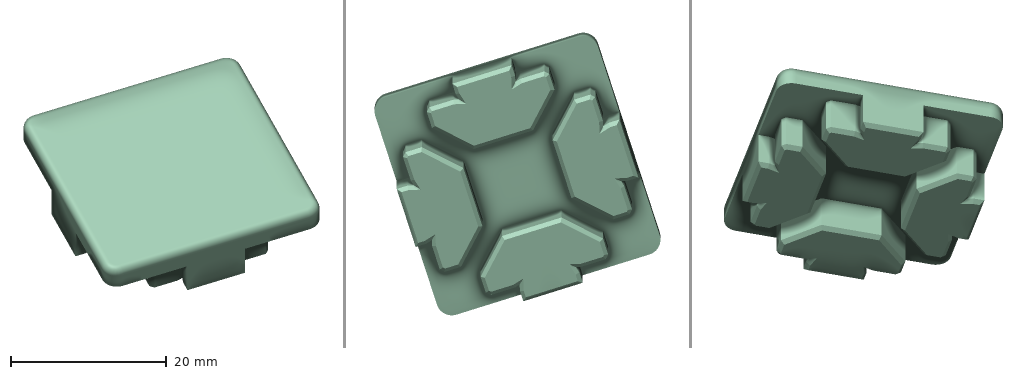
import math

import cadquery as cq

SIZE = 30.0
TOTAL_HEIGHT = 8.0
CAP_THICKNESS = 3.0
CAP_CORNER_RADIUS = 2.0
CAP_TOP_FILLET = 1.0

TONGUE_COUNT = 4
TONGUE_HEIGHT = TOTAL_HEIGHT - CAP_THICKNESS
TONGUE_BOTTOM_CHAMFER = 0.5
STEM_HALF_WIDTH = 4.0
WING_HALF_WIDTH = 8.25
WING_FRONT = 12.95
WING_BACK = 10.25
WING_CORNER_CHAMFER = 0.5
TONGUE_BACK = 6.0

RELIEF_ANGLE = math.radians(15.0)
RELIEF_STEM_START = 13.55
RELIEF_WING_START = 4.5


def relief_vertex():
    """Meeting point of the two relief walls, each sloping by RELIEF_ANGLE."""
    slope = math.tan(RELIEF_ANGLE)
    across = RELIEF_WING_START - STEM_HALF_WIDTH
    along = RELIEF_STEM_START - WING_FRONT
    stem_wall_run = (along + across * slope) / (1 - slope**2)
    half_width = STEM_HALF_WIDTH - stem_wall_run * slope
    return half_width, RELIEF_STEM_START - stem_wall_run


def make_cap():
    return (
        cq.Workplane("XY")
        .workplane(offset=TONGUE_HEIGHT)
        .rect(SIZE, SIZE)
        .extrude(CAP_THICKNESS)
        .edges("|Z")
        .fillet(CAP_CORNER_RADIUS)
        .faces(">Z")
        .edges()
        .fillet(CAP_TOP_FILLET)
    )


def make_tongue():
    """T-shaped tongue on the +Y side, tapering at 45 degrees towards the axis."""
    back_half_width = WING_HALF_WIDTH - (WING_BACK - TONGUE_BACK)
    right_half = [
        (STEM_HALF_WIDTH, SIZE / 2),
        (STEM_HALF_WIDTH, RELIEF_STEM_START),
        relief_vertex(),
        (RELIEF_WING_START, WING_FRONT),
        (WING_HALF_WIDTH - WING_CORNER_CHAMFER, WING_FRONT),
        (WING_HALF_WIDTH, WING_FRONT - WING_CORNER_CHAMFER),
        (WING_HALF_WIDTH, WING_BACK),
        (back_half_width, TONGUE_BACK),
    ]
    left_half = [(-x, y) for x, y in reversed(right_half)]
    return (
        cq.Workplane("XY")
        .polyline(right_half + left_half)
        .close()
        .extrude(TONGUE_HEIGHT)
        .faces("<Z")
        .edges()
        .chamfer(TONGUE_BOTTOM_CHAMFER)
    )


result = make_cap()
tongue = make_tongue()
for index in range(TONGUE_COUNT):
    turn = index * 360 / TONGUE_COUNT
    result = result.union(tongue.rotate((0, 0, 0), (0, 0, 1), turn))
result = result.clean()